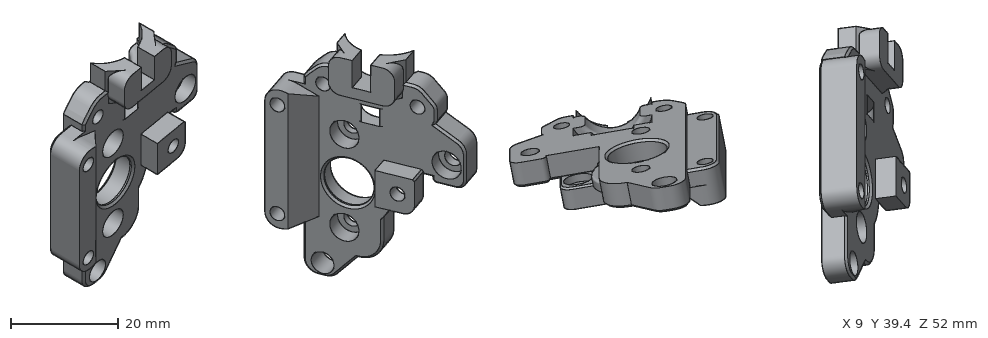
import cadquery as cq
import math

overall_depth = 9.0
plate_depth = 5.0
edge_chamfer = 0.45
overall_height = 52.0
corner_radius = 3.0

plate_right = 6.05
plate_left = 39.4
plate_top = 47.0
web_left = 22.4
web_bottom = 5.95
arm_bottom = 27.8
arm_tip_bottom = 26.55
arm_tip_inner = 32.45
ear_left = 33.4

flange_front = 1.5
flange_bottom = 11.0
flange_top = 41.5
flange_foot = 9.3
flange_back = 4.8
ridge_y = 3.95
ridge_radius = 4.9
taper_angle = math.radians(20)

tower_y = 19.85
tower_half_width = 7.05
tower_chamfer_end = 7.5
block_half_width = 6.8
block_radius = 2.45
block_bottom = 43.7
slot_width = 3.8
pocket_axis_x = -2.9
pocket_radius = 8.05
neck_radius = 6.0
neck_fillet = 1.0
recess_radius = 5.0
recess_floor = 34.7
pocket_floor = 36.15
neck_bottom = 40.05
neck_top = 46.0

bore_y = 15.25
bore_z = 22.0
bore_diameter = 11.3
bore_depth = 4.15
lip_diameter = 10.3
boss_radius = 9.25
boss_front = 3.0
boss_left = 23.35
boss_fillet = 0.45

lug_hole = (27.25, 24.95)
lug_bottom = 20.95
lug_top = 2 * lug_hole[1] - lug_bottom
lug_left = 30.75
lug_chamfer = 0.35
lug_front = plate_depth - lug_chamfer
lug_radius = 2.4
lug_inner = boss_left - 2 * lug_chamfer
lug_counterbore_diameter = 5.5
lug_counterbore_depth = 1.55

web_holes = [(14.5, 32.5), (14.5, 11.95)]
arm_hole = (35.5, 31.25)
rear_counterbore_diameter = 6.0
web_counterbore_floor = 1.5
arm_counterbore_floor = 2.1

screw_diameter = 3.0
through_holes = [
    (screw_diameter, [(10.15, 42.5), (29.55, 42.5), (2.6, 38.15), (2.6, 14.15), lug_hole]),
    (3.4, web_holes),
    (3.5, [arm_hole]),
    (4.7, [(10.05, 2.95)]),
]


def rounded_prism(corners, x_start, x_end):
    """Prism along X from (y, z, radius) corners listed in order; radius 0 keeps a corner sharp."""
    path = None
    for index, (y, z, radius) in enumerate(corners):
        corner = cq.Vector(y, z)
        previous = cq.Vector(*corners[index - 1][:2])
        following = cq.Vector(*corners[(index + 1) % len(corners)][:2])
        to_previous = (previous - corner).normalized()
        to_following = (following - corner).normalized()
        half_angle = to_previous.getAngle(to_following) / 2
        tangent = radius / math.tan(half_angle)
        start = corner + to_previous * tangent
        if path is None:
            path = cq.Workplane("YZ", origin=(x_start, 0, 0)).moveTo(start.x, start.y)
        else:
            path = path.lineTo(start.x, start.y)
        if radius > 0:
            end = corner + to_following * tangent
            bisector = (to_previous + to_following).normalized()
            middle = corner + bisector * (radius / math.sin(half_angle) - radius)
            path = path.threePointArc((middle.x, middle.y), (end.x, end.y))
    return path.close().extrude(x_end - x_start)


def box_between(x_range, y_range, z_range):
    sizes = [high - low for low, high in (x_range, y_range, z_range)]
    corner = (x_range[0], y_range[0], z_range[0])
    return cq.Workplane("XY").box(*sizes, centered=False).translate(corner)


def cylinder_along_x(centre, diameter, x_start, x_end):
    return (
        cq.Workplane("YZ", origin=(x_start, 0, 0))
        .center(*centre)
        .circle(diameter / 2)
        .extrude(x_end - x_start)
    )


def make_plate():
    corners = [
        (plate_right, 0, corner_radius),
        (plate_right, 43.15, 0),
        (6.85, 44.2, 0),
        (9.65, plate_top, 4.0),
        (29.8, plate_top, 3.1),
        (ear_left, 43.4, 1.8),
        (ear_left, 40.2, 0),
        (33.05, 39.45, 0),
        (plate_left, 36.2, corner_radius),
        (plate_left, arm_tip_bottom, 2.1),
        (arm_tip_inner, arm_tip_bottom, 1.05),
        (arm_tip_inner, arm_bottom, 0),
        (web_left, arm_bottom, 0),
        (web_left, web_bottom, 5.0),
        (17.1, web_bottom, 0),
        (11.9, 0, corner_radius),
    ]
    return rounded_prism(corners, 0, plate_depth).faces(">X").chamfer(edge_chamfer)


def make_side_flange():
    inner = plate_right + 2 * edge_chamfer
    front = rounded_prism(
        [
            (0, flange_bottom, corner_radius),
            (inner, flange_bottom, 0),
            (inner, flange_top, 0),
            (0, flange_top, corner_radius),
        ],
        flange_front,
        plate_depth,
    )
    front = front.faces("<X").chamfer(edge_chamfer)

    taper_drop = (flange_foot - ridge_y) * math.tan(taper_angle)
    rear = rounded_prism(
        [
            (0, flange_bottom, corner_radius),
            (ridge_y, flange_bottom, ridge_radius),
            (flange_foot, flange_bottom + taper_drop, 0),
            (flange_foot, flange_top - taper_drop, 0),
            (ridge_y, flange_top, ridge_radius),
            (0, flange_top, corner_radius),
        ],
        plate_depth,
        overall_depth,
    )
    gusset_plan = (
        cq.Workplane("XY")
        .moveTo(plate_depth, 0)
        .lineTo(overall_depth, 0)
        .lineTo(overall_depth, flange_back)
        .lineTo(plate_depth, flange_foot)
        .close()
        .extrude(overall_height)
    )
    return front.union(rear.intersect(gusset_plan))


def make_tower():
    chamfer_start = plate_depth - edge_chamfer
    narrow_half_width = tower_half_width - (tower_chamfer_end - chamfer_start)
    column = (
        cq.Workplane("XY", origin=(0, tower_y, block_bottom))
        .moveTo(0, -tower_half_width)
        .lineTo(chamfer_start, -tower_half_width)
        .lineTo(tower_chamfer_end, -narrow_half_width)
        .lineTo(tower_chamfer_end, narrow_half_width)
        .lineTo(chamfer_start, tower_half_width)
        .lineTo(0, tower_half_width)
        .close()
        .extrude(overall_height - block_bottom)
    )
    block = (
        box_between(
            (plate_depth, overall_depth),
            (tower_y - block_half_width, tower_y + block_half_width),
            (block_bottom, overall_height),
        )
        .edges("|X")
        .fillet(block_radius)
    )
    return column.union(block)


def make_boss():
    disc = cylinder_along_x((bore_y, bore_z), 2 * boss_radius, boss_front, plate_depth)
    shoulder = box_between((boss_front, plate_depth), (bore_y, boss_left), (bore_z, lug_top))
    return disc.union(shoulder).faces("<X").edges().fillet(boss_fillet)


def make_lug():
    lug = rounded_prism(
        [
            (lug_inner, lug_bottom, 0),
            (lug_left, lug_bottom, lug_radius),
            (lug_left, lug_top - lug_chamfer, 0),
            (lug_left - lug_chamfer, lug_top, 0),
            (lug_inner, lug_top, 0),
        ],
        lug_front,
        overall_depth,
    )
    return lug.faces("<X").chamfer(lug_chamfer)


def make_pocket():
    """Stepped bearing pocket turned about a vertical axis in front of the plate."""
    arc_offset = neck_fillet * (1 - math.sqrt(0.5))
    rim_radius = neck_radius + neck_fillet
    return (
        cq.Workplane("XZ", origin=(pocket_axis_x, tower_y, 0))
        .moveTo(0, recess_floor)
        .lineTo(recess_radius, recess_floor)
        .lineTo(recess_radius, pocket_floor)
        .lineTo(pocket_radius, pocket_floor)
        .lineTo(pocket_radius, neck_bottom)
        .lineTo(rim_radius, neck_bottom)
        .threePointArc(
            (neck_radius + arc_offset, neck_bottom + arc_offset),
            (neck_radius, neck_bottom + neck_fillet),
        )
        .lineTo(neck_radius, neck_top - neck_fillet)
        .threePointArc(
            (neck_radius + arc_offset, neck_top - arc_offset),
            (rim_radius, neck_top),
        )
        .lineTo(pocket_radius, neck_top)
        .lineTo(pocket_radius, overall_height)
        .lineTo(0, overall_height)
        .close()
        .revolve(360, (0, 0, 0), (0, 1, 0))
    )


def make_slots():
    y_range = (tower_y - slot_width / 2, tower_y + slot_width / 2)
    lower = box_between((0, overall_depth), y_range, (pocket_floor, neck_bottom))
    upper = box_between((0, overall_depth), y_range, (neck_top, overall_height))
    return lower.union(upper)


def make_bore():
    centre = (bore_y, bore_z)
    through = cylinder_along_x(centre, lip_diameter, 0, plate_depth)
    seat = cylinder_along_x(centre, bore_diameter, 0, bore_depth)
    mouth = (
        cq.Workplane("YZ")
        .center(*centre)
        .circle(bore_diameter / 2 + edge_chamfer)
        .extrude(edge_chamfer, taper=45)
    )
    exit_flare = (
        cq.Workplane("YZ", origin=(plate_depth, 0, 0))
        .center(*centre)
        .circle(lip_diameter / 2 + edge_chamfer)
        .extrude(-edge_chamfer, taper=45)
    )
    return through.union(seat).union(mouth).union(exit_flare)


result = make_plate()
for addition in (make_side_flange(), make_tower(), make_boss(), make_lug()):
    result = result.union(addition)

for removal in (make_pocket(), make_slots(), make_bore()):
    result = result.cut(removal)

for diameter, centres in through_holes:
    for centre in centres:
        result = result.cut(cylinder_along_x(centre, diameter, 0, overall_depth))

lug_counterbore_floor = lug_front + lug_counterbore_depth
counterbores = [cylinder_along_x(lug_hole, lug_counterbore_diameter, lug_front, lug_counterbore_floor)]
for centre in web_holes:
    counterbores.append(
        cylinder_along_x(centre, rear_counterbore_diameter, web_counterbore_floor, plate_depth)
    )
counterbores.append(
    cylinder_along_x(arm_hole, rear_counterbore_diameter, arm_counterbore_floor, plate_depth)
)
for counterbore in counterbores:
    result = result.cut(counterbore)